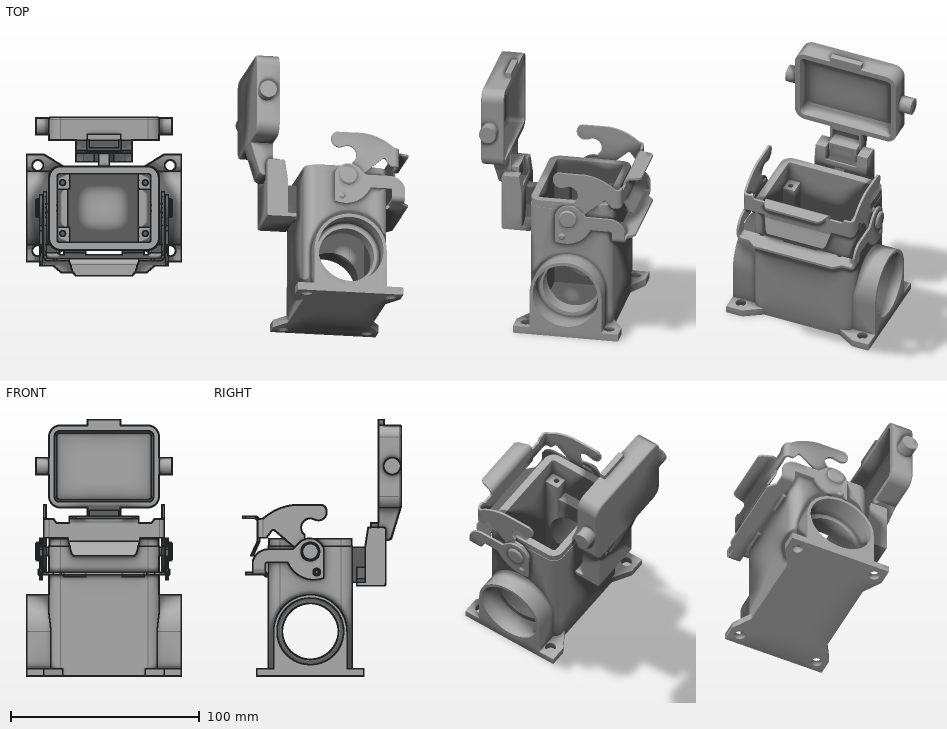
import cadquery as cq
import math


BODY_X = 29.2
BODY_Y = 22.3
BODY_RADIUS = 6.1
SHOULDER_Z = 68.8
RIM_Z = 72.9
RIM_STEP = 0.3
CAVITY_X = 24.9
CAVITY_Y = 18.1
CAVITY_RADIUS = 1.4
FLOOR_Z = 4.1

BASE_LENGTH = 82.0
BASE_X = BASE_LENGTH / 2
BASE_Y = 28.4
BASE_THICKNESS = 4.1
EAR_OUTER_X = 31.8
EAR_INNER_X = 21.8
MOUNT_HOLE_X = 35.1
MOUNT_HOLE_Y = 22.6
MOUNT_HOLE_RADIUS = 2.9

BORE_Z = 23.8
BOSS_RADIUS = 19.5
SOCKET_RADIUS = 17.7
SOCKET_END_X = 28.5
BORE_RADIUS = 14.8

POST_INNER_X = 18.2
POST_INNER_Y = 10.0
POST_Z = 61.2
POST_EDGE_RADIUS = 0.8
SCREW_X = 21.9
SCREW_Y = 13.5
SCREW_RADIUS = 1.5
SCREW_DEPTH = 10.9
LEDGE_Z = 50.3
LEFT_LEDGE_X = 19.3
RIGHT_LEDGE_X = POST_INNER_X

BLOCK_X = 15.0
BLOCK_BACK_Y = 40.0
BLOCK_FRONT_Y = 29.1
BLOCK_BOTTOM_Z = 47.9
BLOCK_TOP_Z = 78.9
BLOCK_SLOPE_Z = 69.0
BLOCK_TOP_FRONT_Y = 30.6
BLOCK_EDGE_RADIUS = 1.2
SLOT_X = 9.1
SLOT_FLOOR_Z = 69.0
SLOT_FRONT_Z = 71.5
SLOT_FRONT_Y = 30.3
NECK_X = 2.9
NECK_BOTTOM_Z = 49.8
NECK_TOP_Z = 68.4
FOOT_FRONT_Y = 24.5
FOOT_FLAT_X = 10.9
FOOT_KNEE = (5.2, 51.7)
FOOT_TOP_Z = 57.8

LID_X = BODY_X
LID_BOTTOM_Z = 89.4
LID_TOP_Z = 133.0
LID_FRONT_Y = 36.0
LID_BACK_Y = 48.3
LID_RADIUS = 6.1
LID_BACK_EDGE_RADIUS = 1.1
LID_WALL = 3.0
LID_FLOOR_Y = 45.5
LID_CAVITY_RADIUS = 2.7
LID_FLOOR_CHAMFER = 1.2
TAB_X = 8.8
TAB_BACK_Y = 39.2
TAB_TOP_Z = 136.0
STUD_RADIUS = 4.5
STUD_Y = 43.4
STUD_Z = 111.4
STUD_END_X = 36.0
ARM_X = TAB_X
ARM_WALL = 1.0
ARM_EDGE_RADIUS = 0.8
ARM_HEEL_Y = 43.0
ARM_HEEL_Z = 73.0
ARM_FOOT_Y = 41.5
ARM_BOTTOM_Z = 72.0
ARM_POCKET_TOP_Z = 87.9
ARM_POCKET_BACK_Y = 40.1
TONGUE_TOP_Z = 81.3
TONGUE_FRONT_Y = 33.0
CLIP_FRONT_Y = 32.1
CLIP_BAR_Z = 80.2
CLIP_LEG_X = 6.3
CLIP_LEG_Z = 76.8

PIVOT_Z = 66.1
PIVOT_RADIUS = 2.3
PIVOT_TIP_RADIUS = 1.5
HEAD_RADIUS = 4.9
HEAD_CHAMFER = 0.7
HEAD_INNER_X = 34.8
HEAD_OUTER_X = 36.0

HOOK_X = 32.0
SHEET = 1.2
HOOK_FRONT_Y = -28.0
HOOK_BEND_RADIUS = 2.7
HOOK_BOTTOM_Z = 73.3
HOOK_TOP_Z = 83.2
NOTCH_Z = 81.3
NOTCH_OUTER_X = 26.7
NOTCH_INNER_X = 25.2
GRIP_X = 18.5
GRIP_TOP_Z = 84.9
GRIP_BEND_RADIUS = 2.9
GRIP_CORNER = (16.5, -34.3)
GRIP_END_X = 15.0
GRIP_END_Y = -35.9
FLAP_TOP_X = 19.3
FLAP_BEND_Z = 71.5
FLAP_END_Y = -31.5
FLAP_CORNER = (17.3, 65.3)
FLAP_END_X = 16.2
FLAP_END_Z = 63.8

BRACKET_X = 34.0
BRACKET_FRONT_Y = -30.6
BRACKET_BEND_RADIUS = 2.6
SHELF_BACK_Y = -23.7
SHELF_BOTTOM_Z = 53.9
SHELF_THICKNESS = 1.4
SHELF_END_Y = -34.1
SHELF_SHOULDER_X = 26.8
SHELF_NOSE_X = 22.7
SLIT_DEPTH = 1.0
LIP_INNER_X = 9.7
LIP_OUTER_X = 21.2
RELIEF_OUTER_X = 23.5
LIP_BOTTOM_Z = 52.8
LIP_DROP = 1.1
LIP_GAP = 0.1
DIMPLE_Y = 3.4
DIMPLE_Z = 55.2
DIMPLE_RADIUS = 1.9
DIMPLE_TIP_RADIUS = 1.0
DIMPLE_HEIGHT = 1.0

SIDES = (-1, 1)


def box(x0, x1, y0, y1, z0, z1):
    """Block between two opposite corners."""
    return cq.Workplane("XY").box(x1 - x0, y1 - y0, z1 - z0, centered=False).translate((x0, y0, z0))


def rounded_block(half_x, half_y, radius, z0, z1):
    """Upright block centred on the Z axis with rounded vertical edges."""
    return box(-half_x, half_x, -half_y, half_y, z0, z1).edges("|Z").fillet(radius)


def rod(radius, x0, x1, y, z):
    """Cylinder along X."""
    return cq.Workplane("YZ", origin=(x0, y, z)).circle(radius).extrude(x1 - x0)


def across(half_x, outline):
    """Extrude a YZ outline symmetrically to both sides of x = 0."""
    return outline.extrude(half_x, both=True)


def pair(shape):
    """A shape together with its mirror image on the other side of x = 0."""
    return shape.union(shape.mirror("YZ"))


def base_plate():
    plate = box(-BODY_X, BODY_X, -BODY_Y, BODY_Y, 0, BASE_THICKNESS)
    ends = cq.Workplane("XY").polyline([
        (EAR_INNER_X, -BODY_Y), (EAR_OUTER_X, -BASE_Y), (BASE_X, -BASE_Y),
        (BASE_X, BASE_Y), (EAR_OUTER_X, BASE_Y), (EAR_INNER_X, BODY_Y),
    ]).close().extrude(BASE_THICKNESS)
    holes = (
        cq.Workplane("XY")
        .rect(2 * MOUNT_HOLE_X, 2 * MOUNT_HOLE_Y, forConstruction=True)
        .vertices().circle(MOUNT_HOLE_RADIUS).extrude(BASE_THICKNESS)
    )
    return plate.edges("|Z").fillet(BODY_RADIUS).union(pair(ends)).cut(holes)


def cable_bosses():
    outline = (
        cq.Workplane("YZ").moveTo(-BOSS_RADIUS, 0).lineTo(-BOSS_RADIUS, BORE_Z)
        .threePointArc((0, BORE_Z + BOSS_RADIUS), (BOSS_RADIUS, BORE_Z))
        .lineTo(BOSS_RADIUS, 0).close()
    )
    return across(BASE_X, outline)


def cavity():
    """Inside of the shell, leaving the four screw posts and the two side ledges standing."""
    space = rounded_block(CAVITY_X, CAVITY_Y, CAVITY_RADIUS, FLOOR_Z, RIM_Z)
    for side_x in SIDES:
        for side_y in SIDES:
            post = (
                rounded_block(CAVITY_X - POST_INNER_X, CAVITY_Y - POST_INNER_Y, POST_EDGE_RADIUS,
                              FLOOR_Z, POST_Z)
                .translate((side_x * CAVITY_X, side_y * CAVITY_Y, 0))
            )
            screw = (
                cq.Workplane("XY", origin=(side_x * SCREW_X, side_y * SCREW_Y, POST_Z - SCREW_DEPTH))
                .circle(SCREW_RADIUS).extrude(SCREW_DEPTH)
            )
            space = space.cut(post.cut(screw))
    left = box(-CAVITY_X, -LEFT_LEDGE_X, -POST_INNER_Y, POST_INNER_Y, FLOOR_Z, LEDGE_Z)
    right = box(RIGHT_LEDGE_X, CAVITY_X, -POST_INNER_Y, POST_INNER_Y, FLOOR_Z, LEDGE_Z)
    return space.cut(left).cut(right)


def cable_bore():
    sockets = rod(SOCKET_RADIUS, SOCKET_END_X, BASE_X, 0, BORE_Z)
    return rod(BORE_RADIUS, -BASE_X, BASE_X, 0, BORE_Z).union(pair(sockets))


def hinge_block():
    block = across(BLOCK_X, cq.Workplane("YZ").polyline([
        (BLOCK_FRONT_Y, BLOCK_BOTTOM_Z), (BLOCK_BACK_Y, BLOCK_BOTTOM_Z), (BLOCK_BACK_Y, BLOCK_TOP_Z),
        (BLOCK_TOP_FRONT_Y, BLOCK_TOP_Z), (BLOCK_FRONT_Y, BLOCK_SLOPE_Z),
    ]).close())
    block = block.faces(">Y").edges("|X").fillet(BLOCK_EDGE_RADIUS)
    slot = box(-SLOT_X, SLOT_X, SLOT_FRONT_Y, BLOCK_BACK_Y, SLOT_FLOOR_Z, BLOCK_TOP_Z)
    opening = box(-SLOT_X, SLOT_X, BLOCK_FRONT_Y, BLOCK_BACK_Y, SLOT_FRONT_Z, BLOCK_TOP_Z)
    neck = box(-NECK_X, NECK_X, BODY_Y, BLOCK_FRONT_Y, NECK_BOTTOM_Z, NECK_TOP_Z)
    return block.cut(slot).cut(opening).union(neck).union(hinge_foot())


def hinge_foot():
    """Flange under the neck that curves up to the neck's sides."""
    knee_x, knee_z = FOOT_KNEE
    run = FOOT_FLAT_X - knee_x
    rise = knee_z - NECK_BOTTOM_Z
    radius = (run ** 2 + rise ** 2) / (2 * rise)
    half_angle = math.atan2(rise, run)
    mid = (FOOT_FLAT_X - radius * math.sin(half_angle), NECK_BOTTOM_Z + radius * (1 - math.cos(half_angle)))
    half = (
        cq.Workplane("XZ", origin=(0, BLOCK_FRONT_Y, 0))
        .moveTo(0, BLOCK_BOTTOM_Z).lineTo(BLOCK_X, BLOCK_BOTTOM_Z).lineTo(BLOCK_X, NECK_BOTTOM_Z)
        .lineTo(FOOT_FLAT_X, NECK_BOTTOM_Z).threePointArc(mid, FOOT_KNEE)
        .lineTo(NECK_X, FOOT_TOP_Z).lineTo(0, FOOT_TOP_Z).close()
        .extrude(BLOCK_FRONT_Y - FOOT_FRONT_Y)
    )
    return pair(half)


def make_housing():
    shell = rounded_block(BODY_X, BODY_Y, BODY_RADIUS, 0, SHOULDER_Z)
    rim = rounded_block(BODY_X - RIM_STEP, BODY_Y - RIM_STEP, BODY_RADIUS - RIM_STEP, SHOULDER_Z, RIM_Z)
    body = shell.union(rim).union(base_plate()).union(cable_bosses()).union(hinge_block())
    pivot_holes = rod(PIVOT_TIP_RADIUS, -BODY_X, BODY_X, 0, PIVOT_Z)
    return body.cut(cavity()).cut(cable_bore()).cut(pivot_holes)


def lid_arm():
    """Open channel that hangs from the lid, with a tongue reaching into the hinge slot."""
    root_z = LID_BOTTOM_Z + LID_WALL
    arm = across(ARM_X, cq.Workplane("YZ").polyline([
        (LID_FRONT_Y, root_z), (LID_BACK_Y - LID_BACK_EDGE_RADIUS, root_z),
        (LID_BACK_Y, LID_BOTTOM_Z + LID_BACK_EDGE_RADIUS), (ARM_HEEL_Y, ARM_HEEL_Z),
        (ARM_FOOT_Y, ARM_BOTTOM_Z), (LID_FRONT_Y, ARM_BOTTOM_Z),
    ]).close())
    back_edges = cq.selectors.BoxSelector(
        (-LID_X, ARM_FOOT_Y, ARM_BOTTOM_Z), (LID_X, LID_BACK_Y, LID_BOTTOM_Z)
    )
    arm = arm.edges(back_edges).edges("not |X").fillet(ARM_EDGE_RADIUS)
    inner_x = ARM_X - ARM_WALL
    pocket = box(-inner_x, inner_x, LID_FRONT_Y, ARM_POCKET_BACK_Y, TONGUE_TOP_Z, ARM_POCKET_TOP_Z)
    tongue = box(-inner_x, inner_x, TONGUE_FRONT_Y, LID_FRONT_Y, ARM_BOTTOM_Z, TONGUE_TOP_Z)
    bar = box(-inner_x, inner_x, CLIP_FRONT_Y, TONGUE_FRONT_Y, CLIP_BAR_Z, TONGUE_TOP_Z)
    leg = box(CLIP_LEG_X, inner_x, CLIP_FRONT_Y, TONGUE_FRONT_Y, CLIP_LEG_Z, TONGUE_TOP_Z)
    return arm.cut(pocket).union(tongue).union(bar).union(pair(leg))


def make_lid():
    lid = box(-LID_X, LID_X, LID_FRONT_Y, LID_BACK_Y, LID_BOTTOM_Z, LID_TOP_Z)
    lid = lid.edges("|Y").fillet(LID_RADIUS).faces(">Y").edges().fillet(LID_BACK_EDGE_RADIUS)
    tab = box(-TAB_X, TAB_X, LID_FRONT_Y, TAB_BACK_Y, LID_TOP_Z - LID_WALL, TAB_TOP_Z)
    studs = rod(STUD_RADIUS, -STUD_END_X, STUD_END_X, STUD_Y, STUD_Z)
    recess = box(-LID_X + LID_WALL, LID_X - LID_WALL, LID_FRONT_Y, LID_FLOOR_Y,
                 LID_BOTTOM_Z + LID_WALL, LID_TOP_Z - LID_WALL)
    recess = recess.edges("|Y").fillet(LID_CAVITY_RADIUS).faces(">Y").edges().chamfer(LID_FLOOR_CHAMFER)
    return lid.union(tab).union(studs).union(lid_arm()).cut(recess)


def hook_outline():
    """Side of the lever: front plate, pivot eye, seat for the lid stud and hooked tip."""
    plate_to_eye = (
        cq.Workplane("YZ").moveTo(HOOK_FRONT_Y, HOOK_BOTTOM_Z)
        .lineTo(-23.3, HOOK_BOTTOM_Z).lineTo(-20.5, 77.0)
        .threePointArc((-19.7, 77.5), (-18.8, 77.1))
        .lineTo(-9.0, 68.8)
    )
    around_eye = (
        plate_to_eye.lineTo(-6.8, 61.2)
        .threePointArc((0, 55.6), (6.1, 61.2))
        .lineTo(6.1, 66.6).lineTo(2.0, 71.8).lineTo(-2.9, 72.4)
    )
    seat_and_tip = (
        around_eye.lineTo(-2.9, 74.8)
        .threePointArc((-4.6, 80.1), (0.3, 83.6))
        .lineTo(3.1, 82.7)
        .threePointArc((7.1, 83.5), (8.7, 87.3))
        .threePointArc((8.0, 89.5), (6.0, 90.8))
    )
    return (
        seat_and_tip.lineTo(-9.0, 90.8)
        .threePointArc((-17.4, 88.5), (-25.0, 83.6))
        .lineTo(HOOK_FRONT_Y, HOOK_TOP_Z).close()
    )


def lever_grip():
    """Flange bent forward from the top of the front plate in one round bend."""
    back_y = HOOK_FRONT_Y + SHEET
    under_z = GRIP_TOP_Z - SHEET
    profile = across(GRIP_X, cq.Workplane("YZ").polyline([
        (back_y, HOOK_BOTTOM_Z), (back_y, GRIP_TOP_Z), (GRIP_END_Y, GRIP_TOP_Z),
        (GRIP_END_Y, under_z), (HOOK_FRONT_Y, under_z), (HOOK_FRONT_Y, HOOK_BOTTOM_Z),
    ]).close())
    outer_bend = cq.selectors.NearestToPointSelector((0, back_y, GRIP_TOP_Z))
    inner_bend = cq.selectors.NearestToPointSelector((0, HOOK_FRONT_Y, under_z))
    profile = profile.edges("|X").edges(outer_bend).fillet(GRIP_BEND_RADIUS)
    profile = profile.edges("|X").edges(inner_bend).fillet(GRIP_BEND_RADIUS - SHEET)
    outline = (
        cq.Workplane("XY", origin=(0, 0, HOOK_BOTTOM_Z)).polyline([
            (0, back_y), (GRIP_X, back_y), (GRIP_X, HOOK_FRONT_Y), GRIP_CORNER,
            (GRIP_END_X, GRIP_END_Y), (0, GRIP_END_Y),
        ]).close().extrude(GRIP_TOP_Z - HOOK_BOTTOM_Z)
    )
    return profile.intersect(pair(outline))


def lever_flap():
    """Flap bent down and outward from the bottom of the front plate, narrowing to its end."""
    back_y = HOOK_FRONT_Y + SHEET
    sheet = across(FLAP_TOP_X, cq.Workplane("YZ").polyline([
        (back_y, HOOK_BOTTOM_Z), (HOOK_FRONT_Y, HOOK_BOTTOM_Z), (HOOK_FRONT_Y, FLAP_BEND_Z),
        (FLAP_END_Y, FLAP_END_Z), (FLAP_END_Y + SHEET, FLAP_END_Z), (back_y, FLAP_BEND_Z),
    ]).close())
    outline = (
        cq.Workplane("XZ", origin=(0, back_y, 0)).polyline([
            (0, HOOK_BOTTOM_Z), (FLAP_TOP_X, HOOK_BOTTOM_Z), FLAP_CORNER,
            (FLAP_END_X, FLAP_END_Z), (0, FLAP_END_Z),
        ]).close().extrude(back_y - FLAP_END_Y)
    )
    return sheet.intersect(pair(outline))


def make_hook_lever():
    back_y = BODY_Y
    outside = box(-HOOK_X, HOOK_X, HOOK_FRONT_Y, back_y, 0, TAB_TOP_Z)
    outside = outside.edges("|Z and <Y").fillet(HOOK_BEND_RADIUS)
    inside = box(-HOOK_X + SHEET, HOOK_X - SHEET, HOOK_FRONT_Y + SHEET, back_y, 0, TAB_TOP_Z)
    inside = inside.edges("|Z and <Y").fillet(HOOK_BEND_RADIUS - SHEET)
    lever = across(HOOK_X, hook_outline()).intersect(outside.cut(inside))
    notch = (
        cq.Workplane("XZ", origin=(0, HOOK_FRONT_Y + SHEET, 0)).polyline([
            (NOTCH_OUTER_X, TAB_TOP_Z), (NOTCH_OUTER_X, HOOK_TOP_Z), (NOTCH_INNER_X, NOTCH_Z),
            (-NOTCH_INNER_X, NOTCH_Z), (-NOTCH_OUTER_X, HOOK_TOP_Z), (-NOTCH_OUTER_X, TAB_TOP_Z),
        ]).close().extrude(SHEET)
    )
    eye = rod(PIVOT_RADIUS, -HOOK_X, HOOK_X, 0, PIVOT_Z)
    return lever.cut(notch).union(lever_grip()).union(lever_flap()).cut(eye)


def bracket_cheek():
    """Side plate of the bracket: rounded head around the pivot and a curved arm to the shelf."""
    return (
        cq.Workplane("YZ", origin=(BRACKET_X - SHEET, 0, 0))
        .moveTo(7.1, 52.1).lineTo(7.1, 67.7)
        .threePointArc((1.4, 72.9), (-5.5, 71.1))
        .lineTo(-9.4, 67.3).lineTo(-22.8, 67.3)
        .threePointArc((-27.9, 65.3), (BRACKET_FRONT_Y, 60.7))
        .lineTo(BRACKET_FRONT_Y, SHELF_BOTTOM_Z + BRACKET_BEND_RADIUS)
        .lineTo(SHELF_BACK_Y, SHELF_BOTTOM_Z + BRACKET_BEND_RADIUS)
        .lineTo(SHELF_BACK_Y, 59.8).lineTo(-23.0, 60.4).lineTo(-12.0, 60.4)
        .threePointArc((-7.1, 54.1), (0, 51.3))
        .threePointArc((3.5, 51.3), (7.1, 52.1))
        .close().extrude(SHEET)
    )


def bracket_bends():
    """U-shaped stretch that joins both cheeks to the shelf."""
    top_z = SHELF_BOTTOM_Z + BRACKET_BEND_RADIUS
    outside = box(-BRACKET_X, BRACKET_X, BRACKET_FRONT_Y, SHELF_BACK_Y, SHELF_BOTTOM_Z, top_z + SHEET)
    outside = outside.edges("|Y and <Z").fillet(BRACKET_BEND_RADIUS)
    inside = box(-BRACKET_X + SHEET, BRACKET_X - SHEET, BRACKET_FRONT_Y, SHELF_BACK_Y,
                 SHELF_BOTTOM_Z + SHELF_THICKNESS, top_z + SHEET)
    inside = inside.edges("|Y and <Z").fillet(BRACKET_BEND_RADIUS - SHELF_THICKNESS)
    return outside.cut(inside)


def bracket_nose():
    """Part of the shelf that stands out in front of the cheeks."""
    return (
        cq.Workplane("XY", origin=(0, 0, SHELF_BOTTOM_Z))
        .polyline([
            (SHELF_SHOULDER_X, BRACKET_FRONT_Y), (SHELF_NOSE_X, SHELF_END_Y),
            (-SHELF_NOSE_X, SHELF_END_Y), (-SHELF_SHOULDER_X, BRACKET_FRONT_Y),
        ]).close().extrude(SHELF_THICKNESS)
    )


def shelf_slit():
    """Strip removed from the back edge of the shelf, in the middle and around the lips."""
    return box(-RELIEF_OUTER_X, RELIEF_OUTER_X, SHELF_BACK_Y - SLIT_DEPTH, SHELF_BACK_Y,
               SHELF_BOTTOM_Z, SHELF_BOTTOM_Z + SHELF_THICKNESS)


def shelf_lip():
    """Lip that bends from the back edge of the shelf down towards the shell."""
    top_z = SHELF_BOTTOM_Z + SHELF_THICKNESS
    lip_y = -BODY_Y - LIP_GAP
    return (
        cq.Workplane("YZ", origin=(LIP_INNER_X, 0, 0)).polyline([
            (SHELF_BACK_Y - SLIT_DEPTH, top_z), (SHELF_BACK_Y, top_z), (lip_y, top_z - LIP_DROP),
            (lip_y, LIP_BOTTOM_Z), (SHELF_BACK_Y, LIP_BOTTOM_Z),
            (SHELF_BACK_Y - SLIT_DEPTH, SHELF_BOTTOM_Z),
        ]).close().extrude(LIP_OUTER_X - LIP_INNER_X)
    )


def bracket_dimple():
    return (
        cq.Workplane("YZ", origin=(BRACKET_X, DIMPLE_Y, DIMPLE_Z)).circle(DIMPLE_RADIUS)
        .workplane(offset=DIMPLE_HEIGHT).circle(DIMPLE_TIP_RADIUS).loft()
    )


def pivot_pin():
    """Headed pin that passes the hooked lever and ends flush with the inside of the shell."""
    tip = rod(PIVOT_TIP_RADIUS, CAVITY_X, BODY_X, 0, PIVOT_Z)
    shank = rod(PIVOT_RADIUS, BODY_X, HEAD_INNER_X, 0, PIVOT_Z)
    head = rod(HEAD_RADIUS, HEAD_INNER_X, HEAD_OUTER_X, 0, PIVOT_Z).faces(">X").chamfer(HEAD_CHAMFER)
    return tip.union(shank).union(head)


def make_bracket():
    sides = pair(bracket_cheek().union(bracket_dimple()).union(pivot_pin()))
    shelf = bracket_bends().union(bracket_nose()).cut(shelf_slit()).union(pair(shelf_lip()))
    return sides.union(shelf)


housing = make_housing()
lid = make_lid()
hook_lever = make_hook_lever()
bracket = make_bracket()

result = cq.Compound.makeCompound([
    housing.solids().val(),
    lid.solids().val(),
    hook_lever.solids().val(),
    bracket.solids().val(),
])